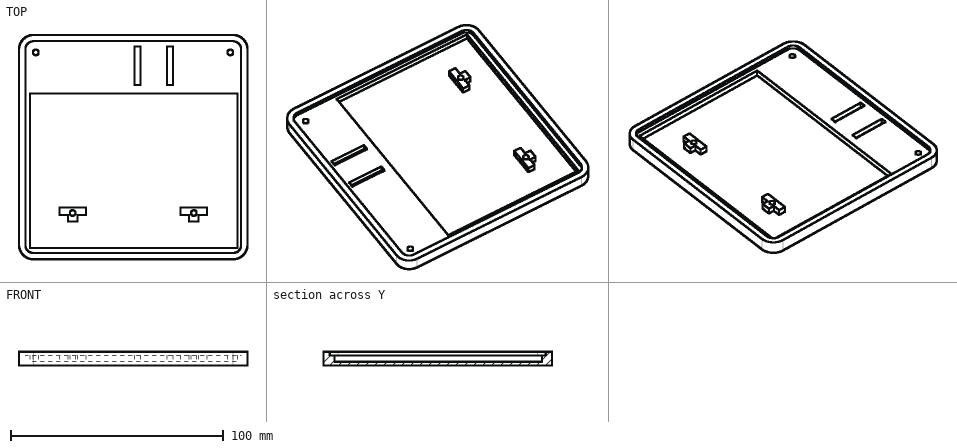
import cadquery as cq

length = 107.6
width = 105.7
corner_radius = 7.0
wall = 3.0
floor = 1.8
pocket_depth = 3.0
lip_height = 1.7
shelf_z = floor + pocket_depth
height = shelf_z + lip_height

pocket_length = 97.5
pocket_width = 72.6
pocket_x = 0.2
pocket_y = -11.2

hole_diameter = 2.7
shelf_hole_spacing = 91.5
shelf_hole_center_x = -0.1
shelf_hole_y = 44.5
slot_length = 18.0
slot_width = 2.8
slot_spacing = 15.3
slot_center_x = 9.6
slot_y = 38.3

post_spacing = 57.0
post_back_y = -28.4
post_height = 3.0
post_top_z = floor + post_height
bar_length = 12.4
bar_width = 3.5
stem_length = 3.0
stem_width = 4.5
post_hole_y = -31.0


def block(size_x, size_y, center_x, center_y, bottom, top):
    """Box given by its plan size, plan centre and Z range."""
    return (
        cq.Workplane("XY", origin=(center_x, center_y, bottom))
        .rect(size_x, size_y)
        .extrude(top - bottom)
    )


def blind_hole(x, y, top):
    """Cutter for a round hole reaching from the given top down to the floor level."""
    return cq.Workplane("XY", origin=(x, y, floor)).circle(hole_diameter / 2).extrude(top - floor)


def t_post(x):
    """Crossbar with a stem toward -Y and a round hole."""
    post_width = bar_width + stem_length
    bar = block(bar_length, bar_width, x, post_back_y - bar_width / 2, floor, post_top_z)
    stem = block(stem_width, post_width, x, post_back_y - post_width / 2, floor, post_top_z)
    return bar.union(stem).cut(blind_hole(x, post_hole_y, post_top_z))


result = block(length, width, 0, 0, 0, height).edges("|Z").fillet(corner_radius)
recess = block(length - 2 * wall, width - 2 * wall, 0, 0, shelf_z, height)
result = result.cut(recess.edges("|Z").fillet(corner_radius - wall))
result = result.cut(block(pocket_length, pocket_width, pocket_x, pocket_y, floor, shelf_z))

for side in (-1, 1):
    hole_x = shelf_hole_center_x + side * shelf_hole_spacing / 2
    result = result.cut(blind_hole(hole_x, shelf_hole_y, shelf_z))
    slot_x = slot_center_x + side * slot_spacing / 2
    result = result.cut(block(slot_width, slot_length, slot_x, slot_y, floor, shelf_z))
    result = result.union(t_post(side * post_spacing / 2))